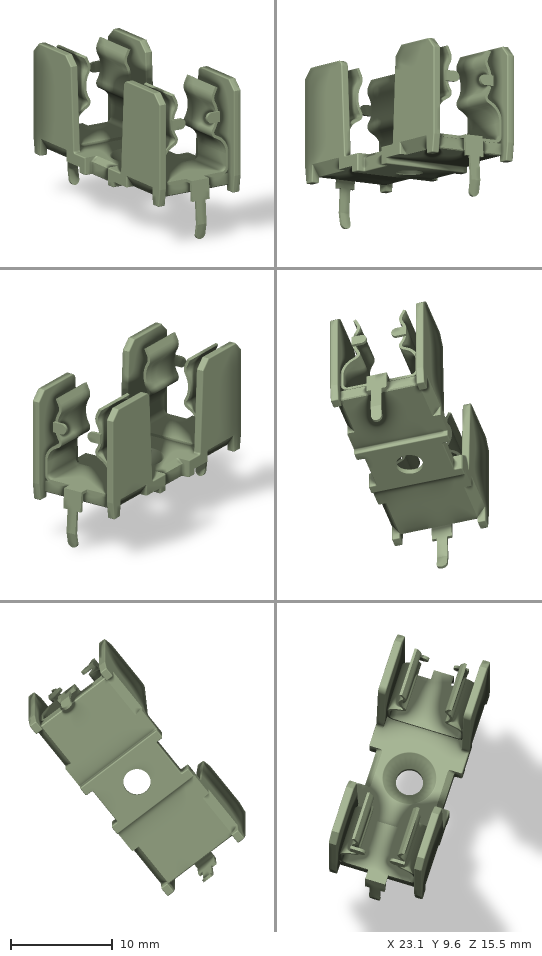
import cadquery as cq
import math

body_half_length = 11.25
body_half_width = 4.8
wall_inner_y = 4.0
wall_top_z = 11.5
slab_bottom_z = 0.62
slab_half_length = 10.2
slab_top_z = 1.8
wall_corner_chamfer = 1.0
wall_corner_radius = 0.65
floor_corner_radius = 0.2
wall_edge_radius = 0.12
foot_edge_radius = 0.1
edge_chamfer = 0.1

left_wall_top_x = -4.5
left_wall_floor_x = -4.02
right_wall_top_x = 4.83
right_wall_floor_x = 4.3

centre_foot_half_length = 2.97
window_inner_x = 5.38
window_outer_top_x = 9.85
end_foot_inner_x = 9.95
end_foot_outer_x = 11.0

notch_half_length = 2.0
notch_floor_y = 4.0
notch_corner_radius = 0.15
notch_bevel_y = 3.4
notch_bevel_bottom_z = 1.3

hole_diameter = 2.7
countersink_diameter = 5.3
countersink_angle = 90
countersink_rim_radius = 0.1

sheet = 0.3
clip_inner_x = 5.25
clip_outer_x = 10.25
fuse_axis_z = 8.0
fuse_radius = 2.5
floor_bend_radius = 0.65
shoulder_start_z = 3.9
shoulder_angle = math.radians(28)
bump_y = 2.15
upper_bump_z = 9.84
lower_bump_z = 6.3
lead_in_angle = math.radians(26)
lead_in_top_z = 10.92

stop_height = 1.06
stop_tip_y = 1.28
stop_centre_z = 7.92

tab_width = 2.05
pin_width = 1.06
tab_top_x = 11.23
pin_knee_x = 11.55
pin_knee_z = -2.4
pin_tip_x = 11.23
pin_tip_z = -4.0
pin_tip_radius = 0.52

clip_floor_z = slab_top_z + sheet
cut_margin = 1.0


def box(x0, x1, y0, y1, z0, z1):
    """Box between two opposite corners."""
    return cq.Workplane("XY").box(x1 - x0, y1 - y0, z1 - z0, centered=False).translate((x0, y0, z0))


def polar(centre, radius, angle):
    """Point at a radius and angle about a centre."""
    return (centre[0] + radius * math.cos(angle), centre[1] + radius * math.sin(angle))


def is_rounded_wall_edge(edge):
    """Whether an outline edge of the side plate is rounded with the wall edge radius.

    Left out are the undersides of the feet, the sides of the centre foot, the underside of the
    joining strip, the tops of the windows, and low edges of the inner face away from the plate ends.
    """
    centre = edge.Center()
    if centre.z < edge_chamfer:
        return False
    if centre.z > slab_top_z + edge_chamfer:
        return True
    if centre.y < (wall_inner_y + body_half_width) / 2:
        return abs(centre.x) > slab_half_length
    below_slab_top = centre.z < slab_top_z - edge_chamfer
    from_middle = abs(centre.x)
    at_strip_bottom = below_slab_top and from_middle < window_inner_x - edge_chamfer
    at_window_top = not below_slab_top and window_inner_x < from_middle < window_outer_top_x
    return not (at_strip_bottom or at_window_top)


def make_side_plate():
    """Side plate on the +Y side: two tall walls, joining strip and feet in one outline."""
    left_x = -body_half_length
    right_x = body_half_length
    shoulder_z = wall_top_z - wall_corner_chamfer
    outline = [
        (left_x, slab_top_z),
        (left_x, shoulder_z),
        (left_x + wall_corner_chamfer, wall_top_z),
        (left_wall_top_x - wall_corner_chamfer, wall_top_z),
        (left_wall_top_x, shoulder_z),
        (left_wall_floor_x, slab_top_z),
        (right_wall_floor_x, slab_top_z),
        (right_wall_top_x, wall_top_z),
        (right_x - wall_corner_chamfer, wall_top_z),
        (right_x, shoulder_z),
        (right_x, slab_top_z),
        (end_foot_outer_x, 0),
        (end_foot_inner_x, 0),
        (window_outer_top_x, slab_top_z),
        (window_inner_x, slab_top_z),
        (window_inner_x, slab_bottom_z),
        (centre_foot_half_length, slab_bottom_z),
        (centre_foot_half_length, 0),
        (-centre_foot_half_length, 0),
        (-centre_foot_half_length, slab_bottom_z),
        (-window_inner_x, slab_bottom_z),
        (-window_inner_x, slab_top_z),
        (-window_outer_top_x, slab_top_z),
        (-end_foot_inner_x, 0),
        (-end_foot_outer_x, 0),
    ]
    thickness = body_half_width - wall_inner_y
    plate = cq.Workplane("XZ", origin=(0, body_half_width, 0)).polyline(outline).close().extrude(thickness)
    right_corner = cq.selectors.NearestToPointSelector((right_wall_top_x, body_half_width, wall_top_z))
    plate = plate.edges("|Y").edges(right_corner).fillet(wall_corner_radius)
    for floor_x in (left_wall_floor_x, right_wall_floor_x):
        floor_corner = cq.selectors.NearestToPointSelector((floor_x, body_half_width, slab_top_z))
        plate = plate.edges("|Y").edges(floor_corner).fillet(floor_corner_radius)
    rounded_edges = plate.faces("<Y or >Y").edges().filter(is_rounded_wall_edge)
    return rounded_edges.fillet(wall_edge_radius)


def make_window_slope(side):
    """Wedge in the +Y window on one side (+1 or -1 in X), sloping in from the outer face to the slab."""
    start_x = window_inner_x - edge_chamfer / 2
    length = end_foot_inner_x - start_x
    return (
        cq.Workplane("YZ", origin=(side * start_x, 0, 0))
        .moveTo(wall_inner_y, slab_top_z)
        .lineTo(body_half_width, slab_top_z)
        .lineTo(wall_inner_y, slab_bottom_z)
        .close()
        .extrude(side * length)
    )


def make_notch():
    """Cutter for the +Y notch: a vertical pocket and a bevel above its back face."""
    pocket = box(
        -notch_half_length,
        notch_half_length,
        notch_floor_y,
        body_half_width + cut_margin,
        -cut_margin,
        slab_top_z + cut_margin,
    )
    bevel = (
        cq.Workplane("YZ", origin=(-notch_half_length, 0, 0))
        .moveTo(notch_bevel_y, slab_top_z)
        .lineTo(notch_floor_y + edge_chamfer, slab_top_z)
        .lineTo(notch_floor_y + edge_chamfer, notch_bevel_bottom_z)
        .lineTo(notch_floor_y, notch_bevel_bottom_z)
        .close()
        .extrude(2 * notch_half_length)
    )
    pocket = pocket.union(bevel)
    pocket_corners = cq.selectors.BoxSelector(
        (-body_half_length, notch_bevel_y, 0),
        (body_half_length, notch_floor_y + edge_chamfer / 2, slab_top_z),
    )
    pocket = pocket.edges("not |X").edges(pocket_corners).fillet(notch_corner_radius)
    mouth = (
        cq.Workplane("XY", origin=(0, 0, -cut_margin))
        .moveTo(-notch_half_length - edge_chamfer, body_half_width)
        .lineTo(notch_half_length + edge_chamfer, body_half_width)
        .lineTo(notch_half_length, body_half_width - edge_chamfer)
        .lineTo(-notch_half_length, body_half_width - edge_chamfer)
        .close()
        .extrude(slab_top_z + 2 * cut_margin)
    )
    return pocket.union(mouth)


def make_body():
    """Base slab, centre foot and two side plates, with notches and the mounting hole."""
    slab = box(
        -slab_half_length, slab_half_length, -wall_inner_y, wall_inner_y, slab_bottom_z, slab_top_z
    )
    slab = slab.edges("|Y and <Z").chamfer(edge_chamfer)
    strip_x = window_inner_x - edge_chamfer
    strip_y = (wall_inner_y + body_half_width) / 2
    strip = box(-strip_x, strip_x, -strip_y, strip_y, slab_bottom_z, slab_top_z)
    foot = box(-centre_foot_half_length, centre_foot_half_length, -wall_inner_y, wall_inner_y, 0, slab_top_z)
    side = make_side_plate().union(make_window_slope(1)).union(make_window_slope(-1))
    body = slab.union(strip).union(foot).union(side).union(side.mirror("XZ"))
    notch = make_notch()
    body = body.cut(notch).cut(notch.mirror("XZ"))
    foot_roots = cq.selectors.BoxSelector(
        (-centre_foot_half_length - edge_chamfer, -body_half_width, slab_bottom_z - edge_chamfer),
        (centre_foot_half_length + edge_chamfer, body_half_width, slab_bottom_z + edge_chamfer),
    )
    body = body.edges("|Y").edges(foot_roots).fillet(foot_edge_radius)
    body = body.faces("<Z").edges().fillet(foot_edge_radius)
    hole = cq.Workplane("XY").circle(hole_diameter / 2).extrude(slab_top_z)
    cone_depth = (countersink_diameter - hole_diameter) / 2 / math.tan(math.radians(countersink_angle / 2))
    cone = cq.Solid.makeCone(
        hole_diameter / 2, countersink_diameter / 2, cone_depth, cq.Vector(0, 0, slab_top_z - cone_depth)
    )
    body = body.cut(hole).cut(cq.Workplane(cone))
    rim = cq.selectors.RadiusNthSelector(-1)
    return body.edges("%CIRCLE").edges(rim).fillet(countersink_rim_radius)


def bump_arc(bump_z):
    """Centre and radius of a bump arc that touches the fuse pocket arc from outside."""
    pocket_radius = fuse_radius + sheet / 2
    rise = bump_z - fuse_axis_z
    radius = (bump_y**2 + rise**2 - pocket_radius**2) / (2 * (pocket_radius - bump_y))
    return (bump_y + radius, bump_z), radius


def arm_outline():
    """Start and the (mid, end) of each stretch of the +Y arm's centre line, from floor to tip.

    A straight stretch has no mid point.
    """
    pocket_centre = (0, fuse_axis_z)
    pocket_radius = fuse_radius + sheet / 2
    lower_centre, lower_radius = bump_arc(lower_bump_z)
    upper_centre, upper_radius = bump_arc(upper_bump_z)

    upright_y = wall_inner_y - sheet / 2
    bend_centre = (upright_y - floor_bend_radius, slab_top_z + sheet / 2 + floor_bend_radius)

    slope_normal = math.pi / 2 - shoulder_angle
    normal_y = math.cos(slope_normal)
    normal_z = math.sin(slope_normal)
    slope_start = polar(lower_centre, lower_radius, slope_normal + math.pi)
    slope_offset = normal_y * slope_start[0] + normal_z * slope_start[1]
    upright_offset = normal_y * upright_y + normal_z * shoulder_start_z
    shoulder_radius = (slope_offset - upright_offset) / (1 - normal_y)
    shoulder_centre = (upright_y - shoulder_radius, shoulder_start_z)

    lower_touch = math.atan2(lower_bump_z - fuse_axis_z, lower_centre[0])
    upper_touch = math.atan2(upper_bump_z - fuse_axis_z, upper_centre[0])
    lower_mid = (slope_normal + lower_touch) / 2 + math.pi
    lead_in_normal = math.pi - lead_in_angle
    upper_mid = (upper_touch + math.pi + lead_in_normal) / 2

    lead_in_start = polar(upper_centre, upper_radius, lead_in_normal)
    lead_in_rise = lead_in_top_z - lead_in_start[1]
    tip = (lead_in_start[0] + lead_in_rise * math.tan(lead_in_angle), lead_in_top_z)

    start = polar(bend_centre, floor_bend_radius, -math.pi / 2)
    stretches = [
        (polar(bend_centre, floor_bend_radius, -math.pi / 4), polar(bend_centre, floor_bend_radius, 0)),
        (None, (upright_y, shoulder_start_z)),
        (
            polar(shoulder_centre, shoulder_radius, slope_normal / 2),
            polar(shoulder_centre, shoulder_radius, slope_normal),
        ),
        (None, slope_start),
        (polar(lower_centre, lower_radius, lower_mid), polar(pocket_centre, pocket_radius, lower_touch)),
        (
            polar(pocket_centre, pocket_radius, (lower_touch + upper_touch) / 2),
            polar(pocket_centre, pocket_radius, upper_touch),
        ),
        (polar(upper_centre, upper_radius, upper_mid), lead_in_start),
        (None, tip),
    ]
    return start, stretches


def make_arm():
    """Bent arm on the +Y side of the right clip, from the middle of the clip floor to the tip."""
    start, stretches = arm_outline()
    path = cq.Workplane("YZ", origin=(clip_inner_x, 0, 0)).moveTo(0, start[1]).lineTo(*start)
    for mid, end in stretches:
        path = path.lineTo(*end) if mid is None else path.threePointArc(mid, end)
    length = clip_outer_x - clip_inner_x
    section = cq.Workplane("XZ", origin=(clip_inner_x + length / 2, 0, start[1])).rect(length, sheet)
    return section.sweep(path)


def make_stop():
    """Round-nosed fuse stop against the outer edge of the +Y arm."""
    nose_radius = stop_height / 2
    stop_back_y = fuse_radius + sheet
    return (
        cq.Workplane("YZ", origin=(clip_outer_x, 0, stop_centre_z))
        .moveTo(stop_back_y, -nose_radius)
        .lineTo(stop_back_y, nose_radius)
        .lineTo(stop_tip_y + nose_radius, nose_radius)
        .threePointArc((stop_tip_y, 0), (stop_tip_y + nose_radius, -nose_radius))
        .close()
        .extrude(sheet)
    )


def make_pin():
    """Tab bent down from the clip floor, narrowing to a kinked pin with a round tip."""
    side = [
        (clip_outer_x - sheet, clip_floor_z),
        (tab_top_x, clip_floor_z),
        (pin_knee_x, pin_knee_z),
        (pin_tip_x, pin_tip_z),
        (pin_tip_x - sheet, pin_tip_z),
        (pin_knee_x - sheet, pin_knee_z),
        (tab_top_x - sheet, slab_top_z),
        (clip_outer_x - sheet, slab_top_z),
    ]
    strip = cq.Workplane("XZ", origin=(0, tab_width / 2, 0)).polyline(side).close().extrude(tab_width)
    tab = box(0, pin_knee_x, -tab_width / 2, tab_width / 2, 0, clip_floor_z)
    pin = box(0, pin_knee_x, -pin_width / 2, pin_width / 2, pin_tip_z, clip_floor_z)
    pin = pin.edges("|X and <Z").fillet(pin_tip_radius)
    return strip.intersect(tab.union(pin))


def make_clip():
    """Right-hand spring clip with both arms, both stops and its solder pin."""
    half = make_arm().union(make_stop())
    return half.union(half.mirror("XZ")).union(make_pin())


clip = make_clip()
result = make_body().union(clip).union(clip.mirror("YZ"))